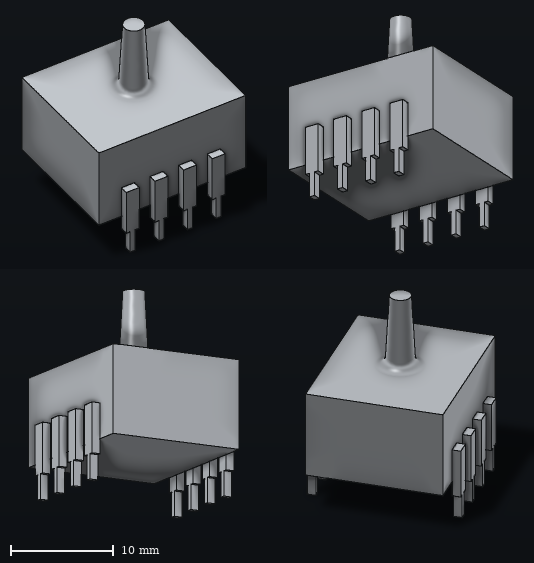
import cadquery as cq
import math

body_width = 14.01
body_depth = 16.9
body_bottom = 4.04
body_top = 13.0

port_top = 20.7
port_tip_radius = 1.1
port_base_radius = 1.45
flare_radius = 1.0

pin_count = 4
pin_pitch = 3.3
pin_row_center = -0.17
pin_thickness = 0.9
shoulder_width = 1.5
shoulder_top = 7.6
shoulder_bottom = 2.53
leg_width = 0.6


def box_between(width, depth, bottom, top):
    """Box centred on the Z axis, spanning the given heights."""
    return cq.Workplane("XY").workplane(offset=bottom).rect(width, depth).extrude(top - bottom)


def make_port():
    taper = math.atan2(port_base_radius - port_tip_radius, port_top - body_top - flare_radius)
    flare_height = flare_radius * (1 - math.sin(taper))
    flare_foot_radius = port_base_radius + flare_radius * math.cos(taper)
    flare_center_z = body_top + flare_radius
    mid_angle = (math.pi + taper + 3 * math.pi / 2) / 2
    arc_middle = (
        flare_foot_radius + flare_radius * math.cos(mid_angle),
        flare_center_z + flare_radius * math.sin(mid_angle),
    )
    return (
        cq.Workplane("XZ")
        .moveTo(0, body_bottom)
        .lineTo(flare_foot_radius, body_bottom)
        .lineTo(flare_foot_radius, body_top)
        .threePointArc(arc_middle, (port_base_radius, body_top + flare_height))
        .lineTo(port_tip_radius, port_top)
        .lineTo(0, port_top)
        .close()
        .revolve(360, (0, 0), (0, 1))
    )


def make_pin():
    shoulder = box_between(pin_thickness, shoulder_width, shoulder_bottom, shoulder_top)
    leg = box_between(pin_thickness, leg_width, 0, shoulder_bottom)
    return shoulder.union(leg)


result = box_between(body_width, body_depth, body_bottom, body_top).union(make_port())

pin = make_pin()
pin_x = (body_width + pin_thickness) / 2
for side in (-1, 1):
    for index in range(pin_count):
        pin_y = pin_row_center + (index - (pin_count - 1) / 2) * pin_pitch
        result = result.union(pin.translate((side * pin_x, pin_y, 0)))